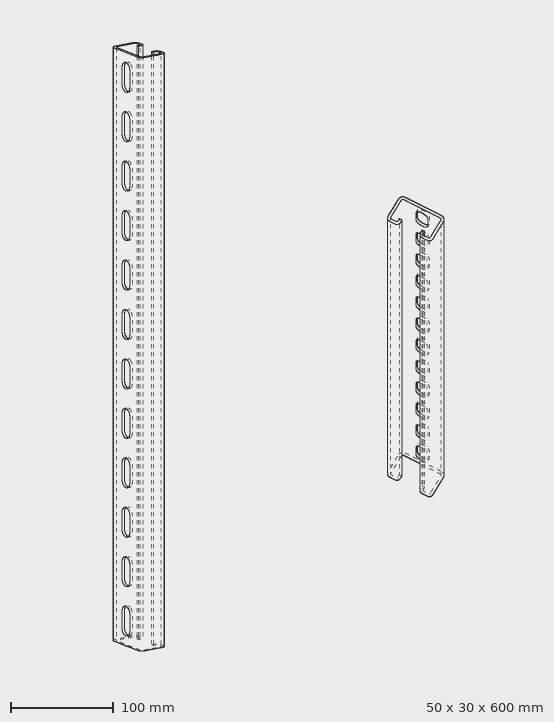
import cadquery as cq

LENGTH = 600.0
WIDTH = LENGTH / 12
DEPTH = 30.0
WALL = 3.0

OPENING = 22.0
LIP_DEPTH = 7.0
BASE_BEND_RADIUS = 5.0
FLANGE_BEND_RADIUS = 4.0

SLOT_COUNT = 12
SLOT_PITCH = LENGTH / SLOT_COUNT
SLOT_LENGTH = 30.0
SLOT_WIDTH = 13.0


def fillet_edges_at(body, points, radius):
    """Round the upright edges that pass through the given (x, y) points."""
    for x, y in points:
        body = body.edges(cq.selectors.NearestToPointSelector((x, y, LENGTH / 2))).fillet(radius)
    return body


def make_bar(width, depth, base_radius, lip_radius):
    """Full-length upright bar, centred on the Z axis, rounded at its base (-Y) and lip (+Y) corners."""
    bar = cq.Workplane("XY").rect(width, depth).extrude(LENGTH)
    bar = bar.faces("<Y").edges("|Z").fillet(base_radius)
    return bar.faces(">Y").edges("|Z").fillet(lip_radius)


def make_channel():
    """Bent sheet: closed tube, opened at +Y between the lips."""
    outside = make_bar(WIDTH, DEPTH, BASE_BEND_RADIUS, FLANGE_BEND_RADIUS)
    inside = make_bar(
        WIDTH - 2 * WALL, DEPTH - 2 * WALL, BASE_BEND_RADIUS - WALL, FLANGE_BEND_RADIUS - WALL
    )
    lips = (
        cq.Workplane("XY")
        .center(0, (DEPTH - LIP_DEPTH) / 2)
        .rect(OPENING + 2 * WALL, LIP_DEPTH)
        .extrude(LENGTH)
    )
    opening = cq.Workplane("XY").center(0, DEPTH / 2).rect(OPENING, DEPTH).extrude(LENGTH)
    channel = outside.cut(inside).union(lips).cut(opening)

    outer_corners = [(side * OPENING / 2, DEPTH / 2) for side in (-1, 1)]
    inner_corners = [(side * (OPENING / 2 + WALL), DEPTH / 2 - WALL) for side in (-1, 1)]
    channel = fillet_edges_at(channel, outer_corners, FLANGE_BEND_RADIUS)
    return fillet_edges_at(channel, inner_corners, FLANGE_BEND_RADIUS - WALL)


def make_slots():
    """Upright round-ended slots, evenly spaced, through the base only."""
    mid_height = LENGTH / 2
    return (
        cq.Workplane("XZ", origin=(0, -DEPTH / 2 + WALL, mid_height))
        .rarray(SLOT_PITCH, SLOT_PITCH, 1, SLOT_COUNT)
        .slot2D(SLOT_LENGTH, SLOT_WIDTH, 90)
        .extrude(WALL)
    )


result = make_channel().cut(make_slots())